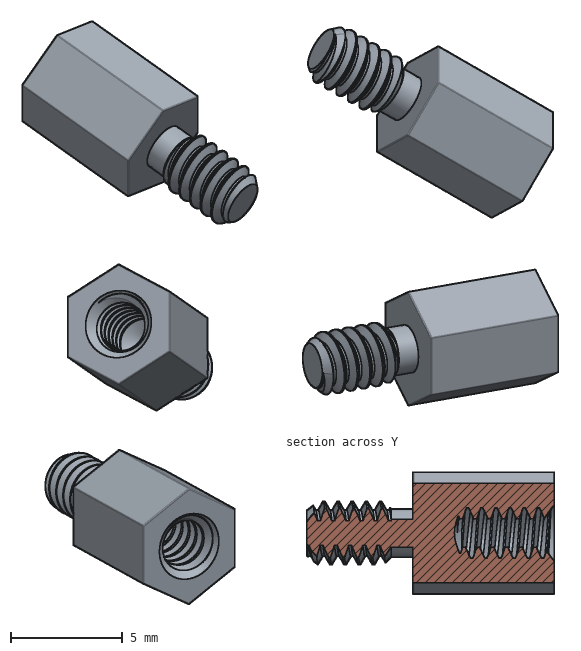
import cadquery as cq
import math

total_length = 11.11
hex_length = 6.35
hex_across_flats = 4.75
hex_edge_radius = 0.04

pitch = 0.635
thread_radius = 1.42
crest_width = pitch / 8
flank_angle = math.radians(30)
ridge_burial = 0.04
core_seam_angle = 20
trim_clearance = 0.11

neck_radius = 1.09
neck_length = 0.97
stud_root_radius = 1.04
stud_tip_radius = 1.01
stud_tip_chamfer = 0.51
stud_ridge_position = 7.63

hole_minor_radius = 1.08
hole_depth = 5.0
drill_point_angle = 118.0
hole_ridge_position = 0.62
mouth_radius = 1.53

hex_corner_diameter = hex_across_flats / math.cos(math.pi / 6)
thread_start = hex_length + neck_length


def turned(points):
    """Revolve an (x, radius) outline about the X axis."""
    return cq.Workplane("XY").polyline(points).close().revolve(360, (0, 0, 0), (1, 0, 0))


def threaded_rod(x_start, x_end, root_radius, ridge_position):
    """Right-handed threaded rod along X, running past both x_start and x_end.

    ridge_position is the X of one ridge crest on the +Y side.
    """
    turns_before = math.ceil((ridge_position - x_start) / pitch) + 1
    helix_start = ridge_position - turns_before * pitch
    turns = math.ceil((x_end - helix_start) / pitch) + 1
    helix_length = turns * pitch

    foot_radius = root_radius - ridge_burial
    crest_half_width = crest_width / 2
    foot_half_width = crest_half_width + (thread_radius - foot_radius) * math.tan(flank_angle)
    section = [
        (foot_radius, -foot_half_width),
        (thread_radius, -crest_half_width),
        (thread_radius, crest_half_width),
        (foot_radius, foot_half_width),
    ]
    helices = [
        cq.Wire.makeHelix(pitch, helix_length, radius).translate(cq.Vector(0, 0, offset))
        for radius, offset in section
    ]
    faces = [
        cq.Face.makeRuledSurface(helices[i], helices[(i + 1) % len(helices)])
        for i in range(len(helices))
    ]
    for height in (0, helix_length):
        corners = [cq.Vector(radius, 0, offset + height) for radius, offset in section]
        faces.append(cq.Face.makeFromWires(cq.Wire.makePolygon(corners, close=True)))
    ridge = cq.Solid.makeSolid(cq.Shell.makeShell(faces))

    core = cq.Workplane("XY").circle(root_radius).extrude(helix_length)
    core = core.rotate((0, 0, 0), (0, 0, 1), core_seam_angle)
    rod = core.union(cq.Workplane(ridge))
    return rod.rotate((0, 0, 0), (1, 1, 1), 120).translate((helix_start, 0, 0))


def hexagon_body():
    body = cq.Workplane("YZ").polygon(6, hex_corner_diameter).extrude(hex_length)
    body = body.rotate((0, 0, 0), (1, 0, 0), 90)
    return body.edges().fillet(hex_edge_radius)


def threaded_stud():
    outer_radius = thread_radius + trim_clearance
    tip_slope = (thread_radius - stud_tip_radius) / stud_tip_chamfer
    blank = turned([
        (thread_start, 0),
        (thread_start, neck_radius),
        (thread_start + outer_radius - neck_radius, outer_radius),
        (total_length - (outer_radius - stud_tip_radius) / tip_slope, outer_radius),
        (total_length, stud_tip_radius),
        (total_length, 0),
    ])
    rod = threaded_rod(thread_start, total_length, stud_root_radius, stud_ridge_position)
    thread = rod.intersect(blank)
    neck = cq.Workplane("YZ").workplane(offset=hex_length).circle(neck_radius).extrude(neck_length)
    return neck.union(thread)


def countersink():
    """45 degree cone at the mouth, its apex inside the tapped hole."""
    return turned([(0, 0), (0, mouth_radius), (mouth_radius, 0)])


def tapped_hole():
    """Threaded hole ending in a drill point; the thread runs right down to that cone."""
    outer_radius = thread_radius + trim_clearance
    cone_length = outer_radius / math.tan(math.radians(drill_point_angle / 2))
    trim = turned([
        (0, 0),
        (0, outer_radius),
        (hole_depth - cone_length, outer_radius),
        (hole_depth, 0),
    ])
    return threaded_rod(0, hole_depth, hole_minor_radius, hole_ridge_position).intersect(trim)


result = hexagon_body().cut(tapped_hole()).cut(countersink()).union(threaded_stud())